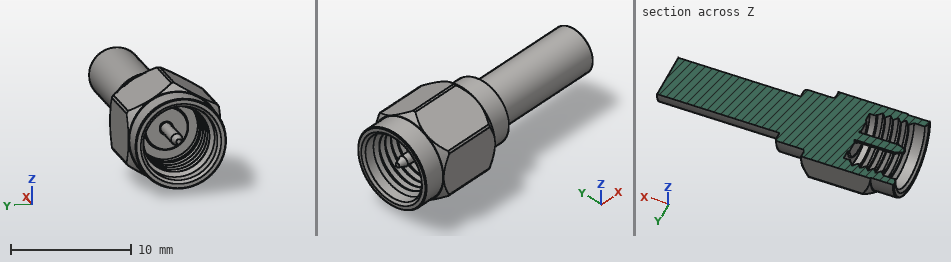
import cadquery as cq
import math


total_length = 22.1
nut_start = 2.08
nut_end = 8.35
collar_end = 11.05
cavity_depth = 5.0

sleeve_radius = 3.9
sleeve_chamfer = 0.09
nut_across_flats = 7.93
nut_corner_radius = 4.5
nut_face_radius = 3.95
nut_chamfer_length = 0.66
collar_radius = 3.18
collar_round = 0.29
collar_root_fillet = 0.25
tube_radius = 2.25

mouth_radius = 3.45
mouth_chamfer_length = 0.22
thread_root_radius = 3.18
thread_crest_radius = 2.83
thread_start = 1.2
thread_pitch = 0.7
thread_crest_width = 0.09
thread_turns = 5
cavity_floor_radius = 2.7

insulator_radius = 1.9
insulator_height = 0.13
insulator_chamfer = 0.1
pin_radius = 0.49
pin_tip_radius = 0.22
pin_tip_start = 0.7
pin_taper_length = 0.73
pin_clearance_radius = 0.57
pin_clearance_depth = 0.1


def revolve_about_x(profile):
    """Revolve a closed profile of (axial position, radius) about the X axis."""
    return profile.close().revolve(360, (0, 0, 0), (1, 0, 0))


def cylinder(start, end, radius):
    return cq.Workplane("YZ", origin=(start, 0, 0)).circle(radius).extrude(end - start)


def make_sleeve():
    return cylinder(0, nut_end, sleeve_radius).faces("<X").chamfer(sleeve_chamfer)


def make_nut():
    """Hexagon with flats facing +/-Y, turned at its corners and chamfered at both ends."""
    sharp_corner_diameter = nut_across_flats / math.cos(math.radians(30))
    hexagon = (
        cq.Workplane("YZ", origin=(nut_start, 0, 0))
        .transformed(rotate=(0, 0, 90))
        .polygon(6, sharp_corner_diameter)
        .extrude(nut_end - nut_start)
    )
    turned_envelope = revolve_about_x(
        cq.Workplane("XY")
        .moveTo(nut_start, 0)
        .lineTo(nut_start, nut_face_radius)
        .lineTo(nut_start + nut_chamfer_length, nut_corner_radius)
        .lineTo(nut_end - nut_chamfer_length, nut_corner_radius)
        .lineTo(nut_end, nut_face_radius)
        .lineTo(nut_end, 0)
    )
    return hexagon.intersect(turned_envelope)


def make_collar():
    """Collar with a concave fillet against the nut and a rounded rear edge."""
    return revolve_about_x(
        cq.Workplane("XY")
        .moveTo(nut_end, 0)
        .lineTo(nut_end, collar_radius + collar_root_fillet)
        .radiusArc((nut_end + collar_root_fillet, collar_radius), -collar_root_fillet)
        .lineTo(collar_end - collar_round, collar_radius)
        .radiusArc((collar_end, collar_radius - collar_round), collar_round)
        .lineTo(collar_end, 0)
    )


def make_cavity():
    """Chamfered mouth followed by annular V-shaped thread grooves and a plain floor recess."""
    flank_length = (thread_pitch - thread_crest_width) / 2
    profile = (
        cq.Workplane("XY")
        .moveTo(0, 0)
        .lineTo(0, mouth_radius)
        .lineTo(mouth_chamfer_length, thread_root_radius)
    )
    for turn in range(thread_turns):
        root = thread_start + turn * thread_pitch
        crest = root + flank_length
        profile = (
            profile.lineTo(root, thread_root_radius)
            .lineTo(crest, thread_crest_radius)
            .lineTo(crest + thread_crest_width, thread_crest_radius)
        )
    thread_end = crest + thread_crest_width
    profile = (
        profile.lineTo(thread_end, cavity_floor_radius)
        .lineTo(cavity_depth, cavity_floor_radius)
        .lineTo(cavity_depth, 0)
    )
    return revolve_about_x(profile)


def make_insulator():
    """Low chamfered boss on the cavity floor with a shallow clearance around the pin."""
    face = cavity_depth - insulator_height
    boss = cylinder(face, cavity_depth, insulator_radius).faces("<X").chamfer(insulator_chamfer)
    clearance = cylinder(face, face + pin_clearance_depth, pin_clearance_radius)
    return boss.cut(clearance)


def make_pin():
    taper_end = pin_tip_start + pin_taper_length
    return revolve_about_x(
        cq.Workplane("XY")
        .moveTo(pin_tip_start, 0)
        .lineTo(pin_tip_start, pin_tip_radius)
        .lineTo(taper_end, pin_radius)
        .lineTo(cavity_depth, pin_radius)
        .lineTo(cavity_depth, 0)
    )


tube = cylinder(nut_end, total_length, tube_radius)
body = make_sleeve().union(make_nut()).union(make_collar()).union(tube)
result = body.cut(make_cavity()).union(make_insulator()).union(make_pin())